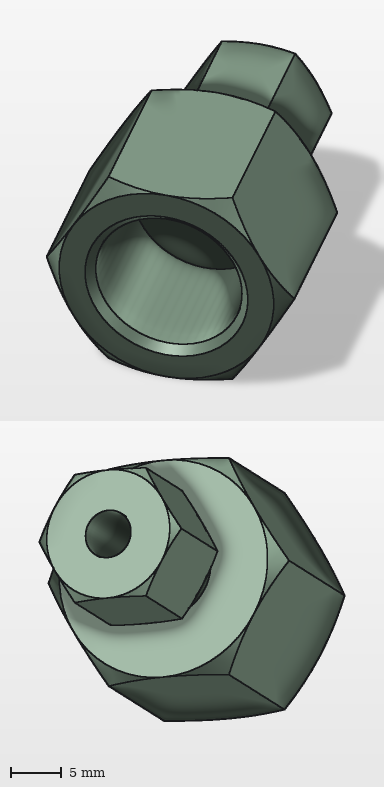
import cadquery as cq
import math

TOTAL_LENGTH = 33.03

NUT_FLATS = 22.0
NUT_LENGTH = 18.0
NUT_CHAMFER_ANGLE = 40.0

SMALL_NUT_FLATS = 13.0
SMALL_NUT_LENGTH = 11.0
SMALL_NUT_CHAMFER_ANGLE = 30.0

NECK_DIAMETER = 10.0

SOCKET_DIAMETER = 15.0
SOCKET_MOUTH_DIAMETER = 16.7
SOCKET_DEPTH = 14.0
SOCKET_CHAMFER_ANGLE = 45.0
PASSAGE_DIAMETER = 4.8

SMALL_NUT_START = TOTAL_LENGTH - SMALL_NUT_LENGTH


def revolve_about_y(points):
    """Revolve a closed (radius, y) outline about the Y axis."""
    return cq.Workplane("XY").polyline(points).close().revolve(360, (0, 0, 0), (0, 1, 0))


def cylinder(diameter, start, length):
    """Cylinder along +Y beginning at y = start."""
    return cq.Workplane("XZ", origin=(0, start, 0)).circle(diameter / 2).extrude(-length)


def hex_nut(flats, start, length, chamfer_angle):
    """Hexagon along +Y with corners on the X axis, cone-chamfered at both ends."""
    corner_radius = flats / math.sqrt(3)
    face_radius = flats / 2
    chamfer_length = (corner_radius - face_radius) * math.tan(math.radians(chamfer_angle))
    end = start + length

    prism = (
        cq.Workplane("XZ", origin=(0, start, 0))
        .polygon(6, 2 * corner_radius)
        .extrude(-length)
    )
    envelope = revolve_about_y([
        (0, start),
        (face_radius, start),
        (corner_radius, start + chamfer_length),
        (corner_radius, end - chamfer_length),
        (face_radius, end),
        (0, end),
    ])
    return prism.intersect(envelope)


def socket():
    """Blind bore with a conical lead-in at the -Y face."""
    mouth_radius = SOCKET_MOUTH_DIAMETER / 2
    bore_radius = SOCKET_DIAMETER / 2
    lead_in_length = (mouth_radius - bore_radius) / math.tan(math.radians(SOCKET_CHAMFER_ANGLE))
    return revolve_about_y([
        (0, 0),
        (mouth_radius, 0),
        (bore_radius, lead_in_length),
        (bore_radius, SOCKET_DEPTH),
        (0, SOCKET_DEPTH),
    ])


large_nut = hex_nut(NUT_FLATS, 0, NUT_LENGTH, NUT_CHAMFER_ANGLE)
small_nut = hex_nut(SMALL_NUT_FLATS, SMALL_NUT_START, SMALL_NUT_LENGTH, SMALL_NUT_CHAMFER_ANGLE)
neck = cylinder(NECK_DIAMETER, NUT_LENGTH, SMALL_NUT_START - NUT_LENGTH)
passage = cylinder(PASSAGE_DIAMETER, 0, TOTAL_LENGTH)

result = large_nut.union(neck).union(small_nut).cut(socket()).cut(passage)